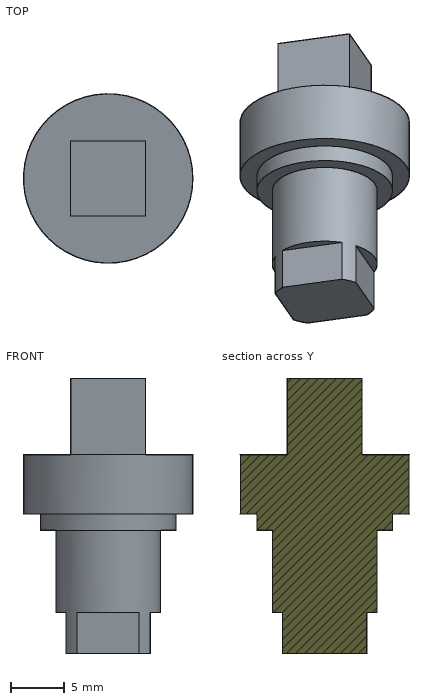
import cadquery as cq

total_height = 25.78
tip_length = 3.85
shank_length = 7.7
shoulder_length = 1.52
flange_length = 5.57
drive_length = total_height - tip_length - shank_length - shoulder_length - flange_length

shank_diameter = 9.82
shoulder_diameter = 12.7
flange_diameter = 15.88
drive_width = 7.0
tip_width = 7.91


def add_cylinder(body, diameter, length):
    """Stack a coaxial cylinder on the top face of the body."""
    return body.faces(">Z").workplane().circle(diameter / 2).extrude(length)


tip_round = cq.Workplane("XY").circle(shank_diameter / 2).extrude(tip_length)
tip_square = cq.Workplane("XY").rect(tip_width, tip_width).extrude(tip_length)
body = tip_round.intersect(tip_square)

body = add_cylinder(body, shank_diameter, shank_length)
body = add_cylinder(body, shoulder_diameter, shoulder_length)
body = add_cylinder(body, flange_diameter, flange_length)

result = body.faces(">Z").workplane().rect(drive_width, drive_width).extrude(drive_length)